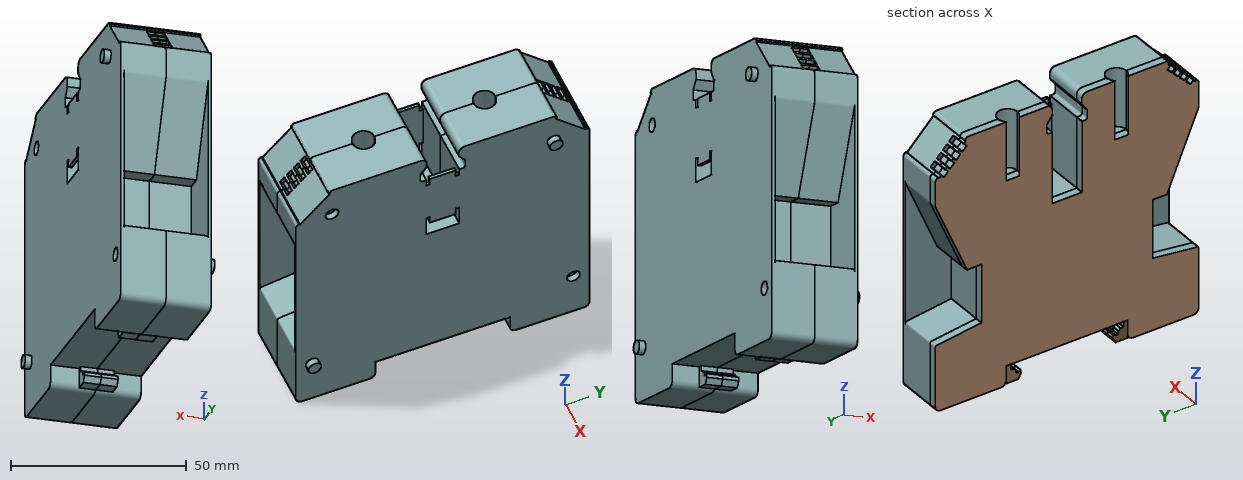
import cadquery as cq
import math

LENGTH = 91.0
HEIGHT = 90.0
TOTAL_WIDTH = 31.0
PEG_LENGTH = 2.0
HALF_WIDTH = TOTAL_WIDTH / 2 - PEG_LENGTH
HALF_LENGTH = LENGTH / 2
WALL = 1.0

LARGE_ROUND = 2.0
SMALL_ROUND = 1.0
NECK_FLOOR_ROUND = 0.7

RAIL_HALF = 20.8
RAIL_DEPTH = 6.6

SHOULDER = 11.0
SHOULDER_ANGLE = 45.0
LIP = 1.3
LABEL_DEPTH = 0.55

SLOT_COUNT = 4
SLOT_PITCH = 3.0
SLOT_WIDTH = 2.0
SLOT_LENGTH = 5.3
SLOT_DEPTH = 1.5

NECK_HALF = 5.0
NECK_FLOOR = 80.5
NECK_BULGE_HALF = 6.9
NECK_BULGE_TOP = 83.7
NECK_THROAT_BOTTOM = 86.4

WELL_HALF = 5.1
WELL_FLOOR = 56.3
TAB_HALF = 4.0
UPPER_GAP_BOTTOM = 78.1
LOWER_GAP_TOP = 63.3
TAB_BOTTOM = 61.0

FUNNEL_BOTTOM = 22.75
FUNNEL_TOP = 70.25
FUNNEL_DEPTH = 15.9
FUNNEL_ROOF_DEPTH = 11.0
FUNNEL_ROOF = 44.5
FUNNEL_FLOOR_RISE = 2.0
FUNNEL_SILL_ROUND = 0.7
FUNNEL_LINTEL_ROUND = 2.0

SCREW_Y = 18.75
SCREW_DIAMETER = 6.7
SCREW_DEPTH = 20.0

PEG_DIAMETER = 4.0
UPPER_PEG_Y = 34.3
UPPER_PEG_Z = 79.35
LOWER_PEG_Y = 40.5
LOWER_PEG_Z = 15.6

CLIP_WIDTH = 5.0
CLIP_BOTTOM = 0.6
CLIP_STEM_Y = 19.4
CLIP_SHOULDER = [(CLIP_STEM_Y, 5.1), (18.5, 4.9), (17.65, 4.3)]
CLIP_HOOK = [(17.5, 3.3), (16.7, 3.2), (15.9, 3.55), (15.7, 2.5), (16.8, CLIP_BOTTOM)]


def prism(points, x_start, x_end):
    """Extrude a closed outline of (y, z) points from x_start to x_end."""
    return cq.Workplane("YZ", origin=(x_start, 0, 0)).polyline(points).close().extrude(x_end - x_start)


def block(x_start, x_end, y_half, z_start, z_end):
    """Box that is centred on Y."""
    corners = [(-y_half, z_start), (y_half, z_start), (y_half, z_end), (-y_half, z_end)]
    return prism(corners, x_start, x_end)


def round_edges(body, y, z, radius):
    """Round the two edges along X that pass through (y, z) and (-y, z)."""
    for side in (1, -1):
        edge_middle = (-HALF_WIDTH / 2, side * y, z)
        body = body.edges("|X").edges(cq.NearestToPointSelector(edge_middle)).fillet(radius)
    return body


def shell_outline():
    """Symmetric (y, z) outline of the housing, with the rail notch below and the neck above."""
    half = [
        (RAIL_HALF, RAIL_DEPTH),
        (RAIL_HALF, 0),
        (HALF_LENGTH, 0),
        (HALF_LENGTH, HEIGHT - SHOULDER),
        (HALF_LENGTH - SHOULDER, HEIGHT),
        (NECK_HALF, HEIGHT),
        (NECK_HALF, NECK_THROAT_BOTTOM),
        (NECK_BULGE_HALF, NECK_BULGE_TOP),
        (NECK_BULGE_HALF, NECK_FLOOR),
    ]
    return half + [(-y, z) for y, z in reversed(half)]


def housing_shell():
    """Solid half of the housing with its outer corners rounded."""
    shell = prism(shell_outline(), -HALF_WIDTH, 0)
    shell = round_edges(shell, RAIL_HALF, 0, LARGE_ROUND)
    shell = round_edges(shell, HALF_LENGTH, 0, LARGE_ROUND)
    shell = round_edges(shell, HALF_LENGTH, HEIGHT - SHOULDER, SMALL_ROUND)
    shell = round_edges(shell, HALF_LENGTH - SHOULDER, HEIGHT, SMALL_ROUND)
    shell = round_edges(shell, NECK_HALF, HEIGHT, LARGE_ROUND)
    return round_edges(shell, NECK_BULGE_HALF, NECK_FLOOR, NECK_FLOOR_ROUND)


def label_cutter():
    """Label recess and marking slots of the +Y shoulder."""
    recess_length = SHOULDER * math.sqrt(2) - 2 * LIP
    recess = cq.Workplane("XY").box(2 * HALF_WIDTH, recess_length, 2 * LABEL_DEPTH)
    slot_depth = LABEL_DEPTH + SLOT_DEPTH
    slots = (
        cq.Workplane("XY")
        .rarray(0.9, SLOT_PITCH, 1, SLOT_COUNT)
        .rect(SLOT_LENGTH, SLOT_WIDTH)
        .extrude(-slot_depth)
    )
    shoulder_middle = (0, HALF_LENGTH - SHOULDER / 2, HEIGHT - SHOULDER / 2)
    return recess.union(slots).rotate((0, 0, 0), (1, 0, 0), -SHOULDER_ANGLE).translate(shoulder_middle)


def bridge_well_cutter():
    """Open well inside the side wall, and the gaps that leave the break-out tabs."""
    well = block(WALL - HALF_WIDTH, 0, WELL_HALF, WELL_FLOOR, NECK_FLOOR)
    lower_window = block(-HALF_WIDTH, 0, WELL_HALF, WELL_FLOOR, LOWER_GAP_TOP)
    upper_window = block(-HALF_WIDTH, 0, WELL_HALF, UPPER_GAP_BOTTOM, NECK_FLOOR)
    tab = block(-HALF_WIDTH, WALL - HALF_WIDTH, TAB_HALF, TAB_BOTTOM, NECK_FLOOR)
    return well.union(lower_window).union(upper_window).cut(tab)


def funnel_cutter():
    """Wire funnel of the +Y end: sloping roof, flat throat and a gently rising floor."""
    outline = [
        (HALF_LENGTH, FUNNEL_BOTTOM),
        (HALF_LENGTH, FUNNEL_TOP),
        (HALF_LENGTH - FUNNEL_ROOF_DEPTH, FUNNEL_ROOF),
        (HALF_LENGTH - FUNNEL_DEPTH, FUNNEL_ROOF),
        (HALF_LENGTH - FUNNEL_DEPTH, FUNNEL_BOTTOM + FUNNEL_FLOOR_RISE),
    ]
    return prism(outline, WALL - HALF_WIDTH, 0)


def screw_hole_cutter():
    """Blind screw hole in the +Y tower."""
    hole_top = cq.Workplane("XY", origin=(0, SCREW_Y, HEIGHT))
    return hole_top.circle(SCREW_DIAMETER / 2).extrude(-SCREW_DEPTH)


def cut_both_ends(body, cutter):
    """Cut a +Y feature and its mirror image at -Y."""
    return body.cut(cutter).cut(cutter.mirror("XZ"))


def peg(y, z, x_start):
    """Peg along X, one peg length long."""
    return cq.Workplane("YZ", origin=(x_start, y, z)).circle(PEG_DIAMETER / 2).extrude(PEG_LENGTH)


def housing_half():
    """Half of the housing on the -X side."""
    half = housing_shell()
    half = cut_both_ends(half, label_cutter())
    half = half.cut(bridge_well_cutter())
    half = cut_both_ends(half, funnel_cutter())
    half = round_edges(half, HALF_LENGTH, FUNNEL_BOTTOM, FUNNEL_SILL_ROUND)
    half = round_edges(half, HALF_LENGTH, FUNNEL_TOP, FUNNEL_LINTEL_ROUND)

    half = cut_both_ends(half, screw_hole_cutter())

    for y, z in [(-UPPER_PEG_Y, UPPER_PEG_Z), (LOWER_PEG_Y, LOWER_PEG_Z)]:
        half = half.union(peg(y, z, -HALF_WIDTH - PEG_LENGTH))
        half = half.cut(peg(-y, z, -HALF_WIDTH))
    return half


def rail_clip(side):
    """Hooked rail clip of one half, against the rail notch wall at +Y (side 1) or -Y (side -1)."""
    wall_edge = [(RAIL_HALF, CLIP_BOTTOM), (RAIL_HALF, RAIL_DEPTH), (CLIP_STEM_Y, RAIL_DEPTH)]
    outline = wall_edge + CLIP_SHOULDER + CLIP_HOOK
    return prism([(side * y, z) for y, z in outline], -CLIP_WIDTH, 0)


def opposite(body):
    """Copy of a -X side body, turned half a turn about Z onto the +X side."""
    return body.rotate((0, 0, 0), (0, 0, 1), 180)


half_block = [housing_half(), rail_clip(1), rail_clip(-1)]
bodies = half_block + [opposite(body) for body in half_block]
result = cq.Compound.makeCompound([body.val() for body in bodies])